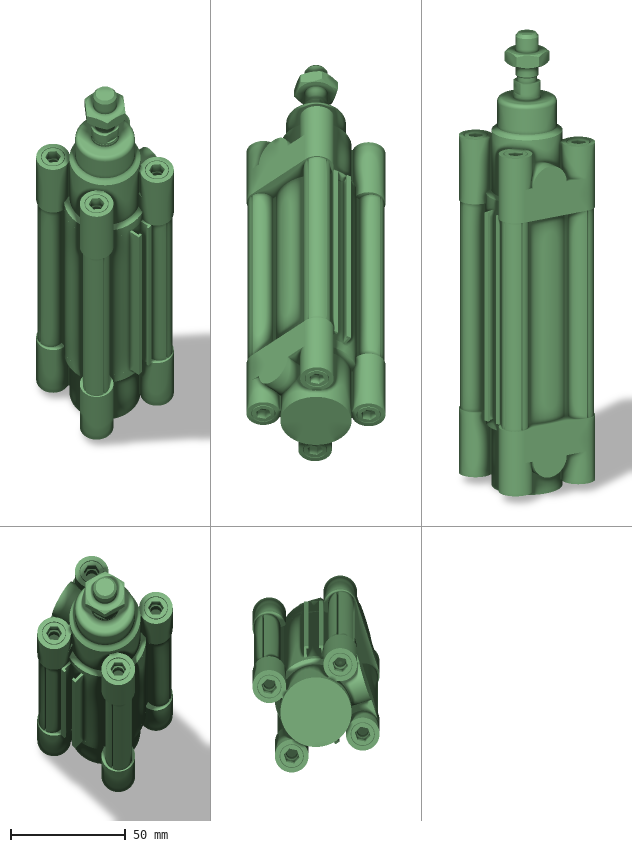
import cadquery as cq
import math


TOTAL_HEIGHT = 206.5
CAP_LENGTH = 33.5
BARREL_LENGTH = 95.2
BARREL_TOP = CAP_LENGTH + BARREL_LENGTH
SHOULDER_TOP = BARREL_TOP + CAP_LENGTH

OUTER_WIDTH = 47.0
CAP_COLUMN_SPACING = 32.5
CAP_COLUMN_DIAMETER = OUTER_WIDTH - CAP_COLUMN_SPACING
CAP_COLUMN_HEIGHT = 29.5
NECK_DIAMETER = 31.0
FLANGE_DIAMETER = 36.0
FLANGE_HEIGHT = 5.0
FLANGE_CONE_HEIGHT = 1.0
COLUMN_WEB_WIDTH = 4.1

PORT_DIAMETER = 17.3
PORT_OFFSET_X = 3.0
PORT_HEIGHT = CAP_COLUMN_HEIGHT / 2

SCREW_DIAMETER = 10.0
SCREW_RECESS_DIAMETER = 10.5
SCREW_RECESS_DEPTH = 1.0
SOCKET_ACROSS_FLATS = 6.0
SOCKET_DEPTH = 5.0
SCREW_HOLE_DIAMETER = 5.0
SCREW_HOLE_DEPTH = 10.0

GUIDE_DIAMETER = 26.0
GUIDE_CONE_HEIGHT = 1.9
GUIDE_TOP = 177.2
GUIDE_FILLET = 1.9
WIPER_TOP = 178.5
WIPER_WALL = 0.1

BODY_DIAMETER = FLANGE_DIAMETER
BODY_SQUARE = 30.1
BARREL_COLUMN_SPACING = 33.9
BARREL_COLUMN_DIAMETER = 11.5
GROOVE_WIDTH = 0.8
GROOVE_DEPTH = 1.7

RAIL_ANGLE = 15.0
RAIL_WIDTH = 8.7
RAIL_OUTER = 22.5
RAIL_CHANNEL_WIDTH = 6.5
RAIL_CHANNEL_FLOOR = 17.5
RAIL_LIP_THICKNESS = 1.0
RAIL_OPENING = 4.5

ROD_DIAMETER = 12.0
ROD_FLATS = 10.3
ROD_FLATS_BOTTOM = 179.5
ROD_SHOULDER_TOP = 184.6
UNDERCUT_DIAMETER = 8.9
THREAD_BOTTOM = 186.9
THREAD_DIAMETER = 10.1
THREAD_TIP_DIAMETER = 8.0
THREAD_TIP_CHAMFER = 1.5

NUT_ACROSS_FLATS = 17.0
NUT_HEIGHT = 6.0
NUT_BOTTOM = 192.7
NUT_FACE_DIAMETER = 16.5
NUT_CHAMFER_ANGLE = 30.0
NUT_COUNTERSINK_DIAMETER = 10.5


def cylinder(diameter, bottom, top):
    return cq.Workplane("XY").workplane(offset=bottom).circle(diameter / 2).extrude(top - bottom)


def cone(bottom_diameter, top_diameter, bottom, top):
    height = top - bottom
    solid = cq.Solid.makeCone(bottom_diameter / 2, top_diameter / 2, height, cq.Vector(0, 0, bottom))
    return cq.Workplane("XY").add(solid)


def square_corners(spacing):
    return [(sx * spacing / 2, sy * spacing / 2) for sx in (-1, 1) for sy in (-1, 1)]


def hexagon(across_flats):
    """Hexagon with two corners on the Y axis."""
    return cq.Sketch().regularPolygon(across_flats / math.sqrt(3), 6)


def make_screw_recess():
    """Ring gap, hexagon socket and hole, cut from the outer end of a cap column."""
    end = CAP_COLUMN_HEIGHT
    ring = cylinder(SCREW_RECESS_DIAMETER, end - SCREW_RECESS_DEPTH, end)
    ring = ring.cut(cylinder(SCREW_DIAMETER, end - SCREW_RECESS_DEPTH, end))
    socket_plane = cq.Workplane("XY").workplane(offset=end - SOCKET_DEPTH)
    socket = socket_plane.placeSketch(hexagon(SOCKET_ACROSS_FLATS)).extrude(SOCKET_DEPTH)
    socket = socket.rotate((0, 0, 0), (0, 0, 1), 90)
    hole = cylinder(SCREW_HOLE_DIAMETER, end - SCREW_HOLE_DEPTH, end)
    return ring.union(socket).union(hole)


def make_cap():
    """Cap shared by both ends: its barrel face lies at Z = 0 and its neck points up."""
    corners = square_corners(CAP_COLUMN_SPACING)
    cap = cylinder(FLANGE_DIAMETER, 0, FLANGE_HEIGHT)
    cap = cap.union(cone(FLANGE_DIAMETER, NECK_DIAMETER, FLANGE_HEIGHT, FLANGE_HEIGHT + FLANGE_CONE_HEIGHT))
    cap = cap.union(cylinder(NECK_DIAMETER, 0, CAP_LENGTH))

    diagonal = CAP_COLUMN_SPACING * math.sqrt(2)
    for angle in (45, 135):
        web = cq.Workplane("XY").rect(diagonal, COLUMN_WEB_WIDTH).extrude(CAP_COLUMN_HEIGHT)
        cap = cap.union(web.rotate((0, 0, 0), (0, 0, 1), angle))
    columns = cq.Workplane("XY").pushPoints(corners).circle(CAP_COLUMN_DIAMETER / 2)
    cap = cap.union(columns.extrude(CAP_COLUMN_HEIGHT))

    plate_start = (CAP_COLUMN_SPACING - CAP_COLUMN_DIAMETER) / 2
    plate = cq.Workplane("XY").box(
        CAP_COLUMN_SPACING, OUTER_WIDTH / 2 - plate_start, PORT_HEIGHT, centered=(True, False, False)
    )
    port = cq.Workplane("XZ").center(PORT_OFFSET_X, PORT_HEIGHT).circle(PORT_DIAMETER / 2)
    cap = cap.union(plate.translate((0, plate_start, 0)))
    cap = cap.union(port.extrude(-OUTER_WIDTH / 2))

    recess = make_screw_recess()
    for x, y in corners:
        cap = cap.cut(recess.translate((x, y, 0)))
    return cap


def make_rear_cap():
    return make_cap().mirror("XY").translate((0, 0, CAP_LENGTH))


def make_front_cap():
    """Shared cap with a guide boss, a thin wiper rim and a bore for the rod."""
    cap = make_cap().translate((0, 0, BARREL_TOP))
    guide_cone = cone(NECK_DIAMETER, GUIDE_DIAMETER, SHOULDER_TOP, SHOULDER_TOP + GUIDE_CONE_HEIGHT)
    guide = cylinder(GUIDE_DIAMETER, SHOULDER_TOP, GUIDE_TOP).edges(">Z").fillet(GUIDE_FILLET)
    wiper = cylinder(ROD_DIAMETER + 2 * WIPER_WALL, SHOULDER_TOP, WIPER_TOP)
    cap = cap.union(guide_cone).union(guide).union(wiper)
    return cap.cut(cylinder(ROD_DIAMETER, BARREL_TOP, WIPER_TOP))


def extruded_box(x_min, x_max, width):
    """Bar along the barrel, centred on Y."""
    bar = cq.Workplane("XY").box(x_max - x_min, width, BARREL_LENGTH, centered=(False, True, False))
    return bar.translate((x_min, 0, CAP_LENGTH))


def make_barrel():
    """Round body with four corner columns and a sensor rail on each side."""
    bottom = CAP_LENGTH
    barrel = cylinder(BODY_DIAMETER, bottom, BARREL_TOP)
    plane = cq.Workplane("XY").workplane(offset=bottom)
    corners = square_corners(BARREL_COLUMN_SPACING)
    barrel = barrel.union(plane.rect(BODY_SQUARE, BODY_SQUARE).extrude(BARREL_LENGTH))
    columns = plane.pushPoints(corners).circle(BARREL_COLUMN_DIAMETER / 2)
    barrel = barrel.union(columns.extrude(BARREL_LENGTH))

    rail = extruded_box(0, RAIL_OUTER, RAIL_WIDTH)
    channel = extruded_box(RAIL_CHANNEL_FLOOR, RAIL_OUTER - RAIL_LIP_THICKNESS, RAIL_CHANNEL_WIDTH)
    channel = channel.union(extruded_box(RAIL_CHANNEL_FLOOR, RAIL_OUTER, RAIL_OPENING))
    for angle in (RAIL_ANGLE, 180 - RAIL_ANGLE):
        barrel = barrel.union(rail.rotate((0, 0, 0), (0, 0, 1), angle))
        barrel = barrel.cut(channel.rotate((0, 0, 0), (0, 0, 1), angle))

    column_face = (BARREL_COLUMN_SPACING + BARREL_COLUMN_DIAMETER) / 2
    groove = extruded_box(column_face - GROOVE_DEPTH, column_face, GROOVE_WIDTH)
    for angle in (0, 90, 180, 270):
        for side in (-1, 1):
            shifted = groove.translate((0, side * BARREL_COLUMN_SPACING / 2, 0))
            barrel = barrel.cut(shifted.rotate((0, 0, 0), (0, 0, 1), angle))
    return barrel


def make_rod():
    """Rod with wrench flats, an undercut and a threaded end."""
    rod = cylinder(ROD_DIAMETER, BARREL_TOP, ROD_SHOULDER_TOP)
    flats_height = ROD_SHOULDER_TOP - ROD_FLATS_BOTTOM
    for side in (-1, 1):
        flat = cq.Workplane("XY").box(ROD_DIAMETER, ROD_DIAMETER, flats_height, centered=(True, True, False))
        rod = rod.cut(flat.translate((side * (ROD_FLATS + ROD_DIAMETER) / 2, 0, ROD_FLATS_BOTTOM)))

    rod = rod.union(cylinder(UNDERCUT_DIAMETER, ROD_SHOULDER_TOP, THREAD_BOTTOM))
    chamfer = (THREAD_DIAMETER - UNDERCUT_DIAMETER) / 2
    thread_start = THREAD_BOTTOM + chamfer
    thread_end = TOTAL_HEIGHT - THREAD_TIP_CHAMFER
    rod = rod.union(cone(UNDERCUT_DIAMETER, THREAD_DIAMETER, THREAD_BOTTOM, thread_start))
    rod = rod.union(cylinder(THREAD_DIAMETER, thread_start, thread_end))
    return rod.union(cone(THREAD_DIAMETER, THREAD_TIP_DIAMETER, thread_end, TOTAL_HEIGHT))


def make_nut():
    """Hexagon nut with corners on the Y axis, chamfered on both faces."""
    nut = cq.Workplane("XY").placeSketch(hexagon(NUT_ACROSS_FLATS)).extrude(NUT_HEIGHT)
    corner_radius = NUT_ACROSS_FLATS / math.sqrt(3)
    face_radius = NUT_FACE_DIAMETER / 2
    drop = (corner_radius - face_radius) * math.tan(math.radians(NUT_CHAMFER_ANGLE))
    envelope_points = [
        (0, 0),
        (face_radius, 0),
        (corner_radius, drop),
        (corner_radius, NUT_HEIGHT - drop),
        (face_radius, NUT_HEIGHT),
        (0, NUT_HEIGHT),
    ]
    envelope = cq.Workplane("XZ").polyline(envelope_points).close().revolve(360, (0, 0), (0, 1))
    nut = nut.intersect(envelope)

    countersink = (NUT_COUNTERSINK_DIAMETER - THREAD_DIAMETER) / 2
    nut = nut.cut(cylinder(THREAD_DIAMETER, 0, NUT_HEIGHT))
    nut = nut.cut(cone(NUT_COUNTERSINK_DIAMETER, THREAD_DIAMETER, 0, countersink))
    nut = nut.cut(cone(THREAD_DIAMETER, NUT_COUNTERSINK_DIAMETER, NUT_HEIGHT - countersink, NUT_HEIGHT))
    return nut.translate((0, 0, NUT_BOTTOM))


rear_cap = make_rear_cap().solids()
barrel = make_barrel().solids()
front_cap = make_front_cap().solids()
rod = make_rod().solids()
nut = make_nut().solids()

result = cq.Compound.makeCompound(
    [rear_cap.val(), barrel.val(), front_cap.val(), rod.val(), nut.val()]
)